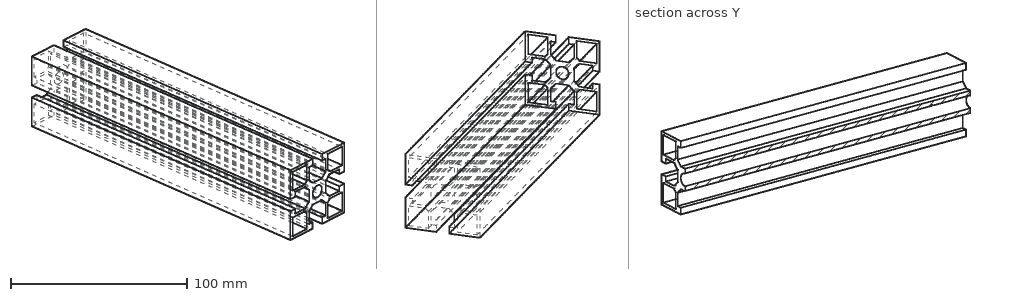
import cadquery as cq

length = 200.0
side = 45.0
half_side = side / 2

mouth_width = 7.8
slot_width = 14.0
lip_thickness = 4.2
core_width = 14.0
slot_chamfer = 3.2

outer_wall = 1.8
chamber_width = 12.0
chamber_chamfer = 1.8
bore_diameter = 7.5


def extrude_along_length(outline):
    return cq.Workplane("YZ").polyline(outline).close().extrude(length)


def make_slot():
    """T-slot opening on the +Z face, with chamfered floor corners."""
    half_mouth = mouth_width / 2
    half_slot = slot_width / 2
    floor = core_width / 2
    lip_inside = half_side - lip_thickness
    right_half = [
        (half_mouth, half_side),
        (half_mouth, lip_inside),
        (half_slot, lip_inside),
        (half_slot, floor + slot_chamfer),
        (half_slot - slot_chamfer, floor),
    ]
    left_half = [(-y, z) for y, z in reversed(right_half)]
    return extrude_along_length(right_half + left_half)


def make_chamber():
    """Square corner chamber, chamfered at the corner nearest the core."""
    outer = half_side - outer_wall
    inner = outer - chamber_width
    return extrude_along_length([
        (outer, outer),
        (inner, outer),
        (inner, inner + chamber_chamfer),
        (inner + chamber_chamfer, inner),
        (outer, inner),
    ])


profile = cq.Workplane("YZ").rect(side, side).circle(bore_diameter / 2).extrude(length)
slot = make_slot()
chamber = make_chamber()
for angle in (0, 90, 180, 270):
    for cutter in (slot, chamber):
        profile = profile.cut(cutter.rotate((0, 0, 0), (1, 0, 0), angle))

result = profile